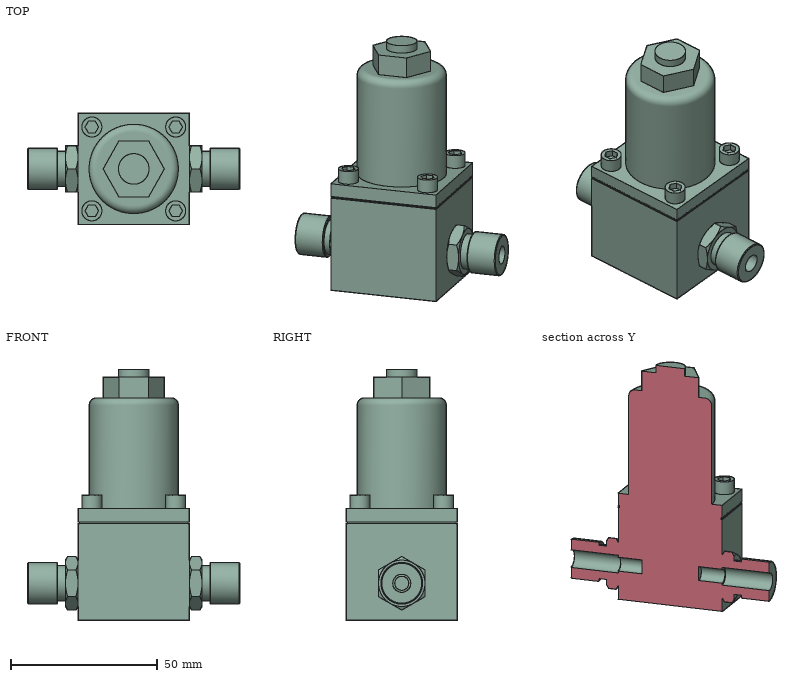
import cadquery as cq
import math

total_height = 85.85
block_side = 38.1
block_height = 33.1

gasket_height = 0.5
gasket_inset = 0.4
cover_height = 4.6

bonnet_radius = 15.3
bonnet_top = 76.15
bonnet_round = 2.6
nut_top = 83.2
nut_half_length = 10.5
nut_half_flat = 5.1
nut_half_width = 9.6
stem_radius = 5.2

screw_offset = 14.3
screw_head_diameter = 6.9
screw_head_height = 4.55
socket_across_flats = 4.0
socket_depth = 2.15

overall_length = 72.55
port_height = 12.7
fitting_hex_length = 4.3
fitting_hex_flats = 15.9
hex_chamfer_angle = 30.0
neck_length = 2.7
neck_radius = 6.1
thread_radius = 7.1
thread_chamfer = 0.3
bore_radius = 3.1
passage_radius = 2.4
passage_depth = 8.6

cover_bottom = block_height + gasket_height
cover_top = cover_bottom + cover_height
fitting_length = (overall_length - block_side) / 2
thread_length = fitting_length - fitting_hex_length - neck_length


def across_corners(across_flats):
    return across_flats / math.cos(math.pi / 6)


def square_plate(side, bottom, height):
    return cq.Workplane("XY").workplane(offset=bottom).rect(side, side).extrude(height)


def make_housing():
    block = square_plate(block_side, 0, block_height)
    gasket = square_plate(block_side - 2 * gasket_inset, block_height, gasket_height)
    cover = square_plate(block_side, cover_bottom, cover_height)
    return block.union(gasket).union(cover)


def make_bonnet():
    bonnet = (
        cq.Workplane("XY")
        .workplane(offset=cover_top)
        .circle(bonnet_radius)
        .extrude(bonnet_top - cover_top)
        .faces(">Z")
        .edges()
        .fillet(bonnet_round)
    )
    nut_outline = [
        (nut_half_length, 0),
        (nut_half_flat, nut_half_width),
        (-nut_half_flat, nut_half_width),
        (-nut_half_length, 0),
        (-nut_half_flat, -nut_half_width),
        (nut_half_flat, -nut_half_width),
    ]
    nut = (
        cq.Workplane("XY")
        .workplane(offset=bonnet_top)
        .polyline(nut_outline)
        .close()
        .extrude(nut_top - bonnet_top)
    )
    stem = (
        cq.Workplane("XY")
        .workplane(offset=nut_top)
        .circle(stem_radius)
        .extrude(total_height - nut_top)
    )
    return bonnet.union(nut).union(stem)


def make_screw_heads():
    return (
        cq.Workplane("XY")
        .workplane(offset=cover_top)
        .rect(2 * screw_offset, 2 * screw_offset, forConstruction=True)
        .vertices()
        .circle(screw_head_diameter / 2)
        .extrude(screw_head_height)
    )


def make_screw_sockets():
    return (
        cq.Workplane("XY")
        .workplane(offset=cover_top + screw_head_height - socket_depth)
        .rect(2 * screw_offset, 2 * screw_offset, forConstruction=True)
        .vertices()
        .polygon(6, across_corners(socket_across_flats))
        .extrude(socket_depth)
    )


def make_fitting_hex():
    """Hex along +Z with both ends turned to a cone that trims the corners."""
    corner_radius = across_corners(fitting_hex_flats) / 2
    face_radius = fitting_hex_flats / 2
    chamfer_length = (corner_radius - face_radius) * math.tan(math.radians(hex_chamfer_angle))
    prism = cq.Workplane("XY").polygon(6, 2 * corner_radius).extrude(fitting_hex_length)
    turned_envelope = (
        cq.Workplane("XZ")
        .polyline([
            (0, 0),
            (face_radius, 0),
            (corner_radius, chamfer_length),
            (corner_radius, fitting_hex_length - chamfer_length),
            (face_radius, fitting_hex_length),
            (0, fitting_hex_length),
        ])
        .close()
        .revolve(360, (0, 0, 0), (0, 1, 0))
    )
    return prism.intersect(turned_envelope)


def make_fitting():
    """Fitting along +Z, standing on the XY plane."""
    neck = (
        cq.Workplane("XY")
        .workplane(offset=fitting_hex_length)
        .circle(neck_radius)
        .extrude(neck_length)
    )
    thread = (
        cq.Workplane("XY")
        .workplane(offset=fitting_hex_length + neck_length)
        .circle(thread_radius)
        .extrude(thread_length)
        .edges("%CIRCLE")
        .chamfer(thread_chamfer)
    )
    return make_fitting_hex().union(neck).union(thread)


def make_fitting_bore():
    """Bore through the fitting, then a narrower blind passage into the block."""
    bore = cq.Workplane("XY").circle(bore_radius).extrude(fitting_length)
    passage = cq.Workplane("XY").circle(passage_radius).extrude(-passage_depth)
    return bore.union(passage)


def place_at_port(shape, side):
    """Turn a +Z shape outward along X and set it on the block; side is +1 or -1."""
    turned = shape.rotate((0, 0, 0), (0, 1, 0), 90 * side)
    return turned.translate((side * block_side / 2, 0, port_height))


result = make_housing().union(make_bonnet()).union(make_screw_heads())
result = result.cut(make_screw_sockets())
for side in (1, -1):
    result = result.union(place_at_port(make_fitting(), side))
    result = result.cut(place_at_port(make_fitting_bore(), side))